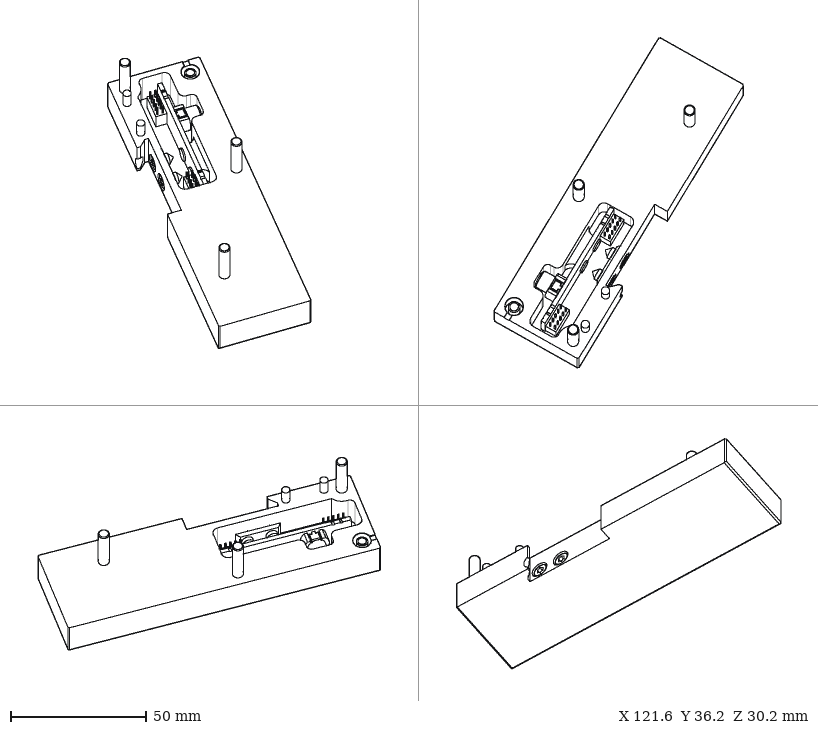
import cadquery as cq
import math


length = 121.6
depth = 36.2
block_height = 13.9
total_height = 30.2
bottom_chamfer = 0.7
corner_chamfer = 0.5
notch_left = 29.7
notch_right = 65.4
notch_depth = 5.5
lip_right = 32.3
lip_thickness = 1.3
lip_slope_end = 4.0

long_pin_diameter = 4.1
long_pin_chamfer = 0.4
long_pin_places = [(5.0, 5.1), (54.0, 31.3), (99.2, 10.2)]
short_pin_diameter = 3.0
short_pin_height = 6.0
short_pin_places = [(11.4, 3.6), (26.3, 3.6)]

stud_x = 5.5
stud_y = 30.6
stud_diameter = 3.2
stud_top = 13.5
collar_diameter = 4.3
collar_top = 13.1
well_diameter = 6.7
well_chamfer = 0.1
well_depth = 6.1
channel_width = 2.2
channel_depth = 0.5

pocket_left = 2.4
pocket_right = 56.8
pocket_front = 8.4
pocket_back = 23.1
pocket_floor = 1.2
pocket_corner_radius = 2.4
bay_left = 15.6
bay_right = 25.9
bay_back = 29.0
bay_radius = 2.0
flare_radius = 2.4
pin_wall_radius = 6.0

screw_places = [33.9, 43.4]
screw_z = 4.1
counterbore_diameter = 6.6
head_diameter = 6.2
head_chamfer = 0.5
head_recess = 0.4
counterbore_depth = 2.4
socket_sides = 6
socket_across_flats = 2.4
socket_depth = 2.2
shank_radius = 2.2
shank_end = 11.7
tip_end = 13.7

ledge_top = 7.3
ledge_middle = (screw_places[0] + screw_places[1]) / 2
ledge_half_base = 8.8
front_ledge_half_top = 7.4
front_ledge_back = 10.2
back_ledge_half_top = 6.5
back_ledge_half_bend = 7.0
back_ledge_bend = 21.8

board_left = 6.0
board_right = 56.5
board_front = 17.6
board_back = 19.3
board_top = 12.8
pad_diameter = 5.0
pad_thickness = 0.6

header_places = [6.3, 46.3]
header_length = 9.8
header_front = 13.3
header_top = 7.3
header_pin_count = 5
header_pin_pitch = 2.0
header_pin_width = 0.5
header_pin_top = 11.0
header_row_places = [14.2, 16.3]
stub_length = 0.7
stub_z = 4.9
slit_offset = 3.4
slit_width = 0.7
slit_depth = 0.4
round_notch_offset = 6.6
round_notch_radius = 0.5

connector_x = 20.8
connector_z = 8.0
connector_radius = 5.0
connector_flat = 3.5
connector_back = 23.5
plug_radius = 3.4
plug_back = 28.8
plug_chamfer = 0.6
groove_width = 4.4
groove_depth = 1.0
key_width = 3.4
key_front = 20.3
key_back = 22.9
key_stem_width = 1.5


def box(x0, x1, y0, y1, z0, z1):
    """Box between the given limits."""
    return cq.Workplane("XY").box(x1 - x0, y1 - y0, z1 - z0, centered=False).translate((x0, y0, z0))


def rod_y(x, z, radius, y0, y1):
    """Cylinder along Y."""
    return cq.Workplane("XZ", origin=(x, y0, z)).circle(radius).extrude(y0 - y1)


def rod_z(x, y, radius, z0, z1):
    """Upright cylinder."""
    return cq.Workplane("XY", origin=(x, y, z0)).circle(radius).extrude(z1 - z0)


def make_block():
    block = box(0, length, 0, depth, 0, block_height)
    block = block.faces("<Z").edges("<X or >X or >Y").chamfer(bottom_chamfer)
    block = block.edges("|Z").chamfer(corner_chamfer)
    notch = (
        cq.Workplane("XY")
        .moveTo(lip_right, 0)
        .lineTo(lip_right, lip_thickness)
        .lineTo(notch_left, lip_slope_end)
        .lineTo(notch_left, notch_depth)
        .lineTo(notch_right, notch_depth)
        .lineTo(notch_right, 0)
        .close()
        .extrude(block_height)
    )
    return block.cut(notch)


def make_pocket():
    pocket = box(pocket_left, pocket_right, pocket_front, pocket_back, pocket_floor, block_height)
    pocket = pocket.edges("|Z").fillet(pocket_corner_radius)
    bay = box(bay_left, bay_right, pocket_front + pocket_corner_radius, bay_back, pocket_floor, block_height)
    bay = bay.edges("|Z and >Y").fillet(bay_radius)
    pocket = pocket.union(bay)
    middle_z = (pocket_floor + block_height) / 2
    for x in (bay_left, bay_right):
        pocket = pocket.edges(cq.NearestToPointSelector((x, pocket_back, middle_z))).fillet(flare_radius)
    pin_x, pin_y = long_pin_places[0]
    pocket = pocket.cut(rod_z(pin_x, pin_y, pin_wall_radius, 0, block_height))
    wall_meeting_y = pin_y + math.sqrt(pin_wall_radius**2 - (pin_x - pocket_left) ** 2)
    pocket = pocket.edges(cq.NearestToPointSelector((pocket_left, wall_meeting_y, middle_z))).fillet(bay_radius)
    return pocket


def make_ledges():
    height = ledge_top - pocket_floor
    front = (
        cq.Workplane("XY", origin=(ledge_middle, 0, pocket_floor))
        .moveTo(-ledge_half_base, pocket_front)
        .lineTo(-front_ledge_half_top, front_ledge_back)
        .lineTo(front_ledge_half_top, front_ledge_back)
        .lineTo(ledge_half_base, pocket_front)
        .close()
        .extrude(height)
    )
    back = (
        cq.Workplane("XY", origin=(ledge_middle, 0, pocket_floor))
        .moveTo(-ledge_half_base, pocket_back)
        .threePointArc((-back_ledge_half_bend, back_ledge_bend), (-back_ledge_half_top, board_back))
        .lineTo(back_ledge_half_top, board_back)
        .threePointArc((back_ledge_half_bend, back_ledge_bend), (ledge_half_base, pocket_back))
        .close()
        .extrude(height)
    )
    return front.union(back)


def add_pins(body):
    root = block_height / 2
    for x, y in long_pin_places:
        pin = rod_z(x, y, long_pin_diameter / 2, root, total_height)
        body = body.union(pin.faces(">Z").chamfer(long_pin_chamfer))
    top = block_height + short_pin_height
    for x, y in short_pin_places:
        body = body.union(rod_z(x, y, short_pin_diameter / 2, root, top))
    return body


def add_stud(body):
    well_floor = block_height - well_depth
    body = body.cut(rod_z(stud_x, stud_y, well_diameter / 2, well_floor, block_height))
    body = body.edges(cq.NearestToPointSelector((stud_x, stud_y, block_height))).chamfer(well_chamfer)
    half = channel_width / 2
    body = body.cut(box(0, stud_x, stud_y - half, stud_y + half, block_height - channel_depth, block_height))
    collar = rod_z(stud_x, stud_y, collar_diameter / 2, well_floor, collar_top)
    stud = rod_z(stud_x, stud_y, stud_diameter / 2, well_floor, stud_top)
    return body.union(collar).union(stud)


def add_screw(body, x):
    head_face = notch_depth + head_recess
    head_seat = notch_depth + counterbore_depth
    body = body.cut(rod_y(x, screw_z, counterbore_diameter / 2, 0, head_seat))
    head = rod_y(x, screw_z, head_diameter / 2, head_face, head_seat).faces("<Y").chamfer(head_chamfer)
    socket = (
        cq.Workplane("XZ", origin=(x, head_face, screw_z))
        .polygon(socket_sides, socket_across_flats, circumscribed=True)
        .extrude(-socket_depth)
    )
    head = head.cut(socket)
    shank = (
        cq.Workplane("XY")
        .moveTo(0, head_face + socket_depth)
        .lineTo(shank_radius, head_face + socket_depth)
        .lineTo(shank_radius, shank_end)
        .lineTo(0, tip_end)
        .close()
        .revolve(360, (0, 0, 0), (0, 1, 0))
        .translate((x, 0, screw_z))
    )
    return body.union(head).union(shank)


def make_board():
    board = box(board_left, board_right, board_front, board_back, pocket_floor, board_top)
    for left in header_places:
        slit = left + slit_offset - slit_width / 2
        board = board.cut(
            box(slit, slit + slit_width, board_front, board_back, board_top - slit_depth, board_top)
        )
        board = board.cut(
            rod_y(left + round_notch_offset, board_top, round_notch_radius, board_front, board_back)
        )
    for x in screw_places:
        board = board.union(rod_y(x, screw_z, pad_diameter / 2, board_front - pad_thickness, board_front))
    return board


def make_header(left):
    header = box(left, left + header_length, header_front, board_front, pocket_floor, header_top)
    half = header_pin_width / 2
    first_pin = left + (header_length - (header_pin_count - 1) * header_pin_pitch) / 2
    for i in range(header_pin_count):
        x = first_pin + i * header_pin_pitch
        for y in header_row_places:
            header = header.union(box(x - half, x + half, y - half, y + half, header_top, header_pin_top))
        stub_end = board_back + stub_length
        header = header.union(box(x - half, x + half, board_back, stub_end, stub_z - half, stub_z + half))
    return header


def make_connector():
    flat_z = connector_z + connector_flat
    body = rod_y(connector_x, connector_z, connector_radius, board_back, connector_back)
    left = connector_x - connector_radius
    right = connector_x + connector_radius
    body = body.cut(box(left, right, board_back, connector_back, flat_z, flat_z + connector_radius))
    groove_floor = flat_z - groove_depth

    def centred_bar(width, y0, y1):
        return box(connector_x - width / 2, connector_x + width / 2, y0, y1, groove_floor, flat_z)

    body = body.cut(centred_bar(groove_width, board_back, connector_back))
    body = body.union(centred_bar(key_width, key_front, key_back))
    body = body.union(centred_bar(key_stem_width, board_back, key_front))
    plug = rod_y(connector_x, connector_z, plug_radius, connector_back, plug_back)
    return body.union(plug.faces(">Y").chamfer(plug_chamfer))


result = make_block().cut(make_pocket()).union(make_ledges())
result = add_pins(result)
result = add_stud(result)
for screw_x in screw_places:
    result = add_screw(result, screw_x)
result = result.union(make_board()).union(make_connector())
for header_left in header_places:
    result = result.union(make_header(header_left))